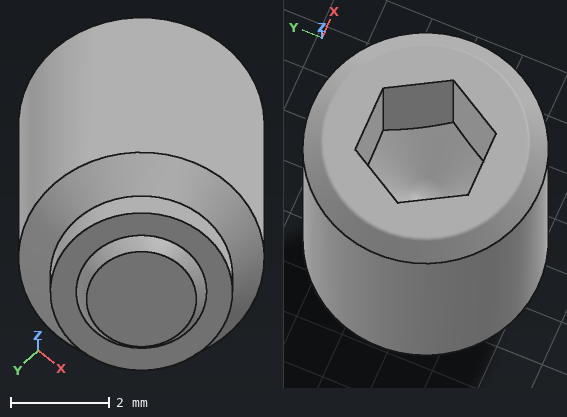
import cadquery as cq
import math

overall_height = 7.5
screw_diameter = 5.0
screw_radius = screw_diameter / 2
dog_radius = 1.85
dog_bottom_z = 0.3
dog_top_z = 0.99
taper_height = screw_radius - dog_radius

end_face_radius = 2.07
edge_round_radius = 0.105
round_angle = math.radians(45)
round_width = edge_round_radius * math.sin(round_angle)
round_height = edge_round_radius * (1 - math.cos(round_angle))
chamfer_top_radius = end_face_radius + round_width
chamfer_top_z = overall_height - round_height
chamfer_bottom_z = chamfer_top_z - (screw_radius - chamfer_top_radius)

hex_across_flats = 2.5
hex_across_corners = hex_across_flats / math.cos(math.radians(30))
socket_depth = 2.5
socket_point_angle = 120.0
cone_radius = hex_across_corners / 2
cone_depth = cone_radius / math.tan(math.radians(socket_point_angle / 2))

ball_radius = 1.5
flat_radius = 1.12
ball_center_z = math.sqrt(ball_radius**2 - flat_radius**2)


def make_ball():
    """Ball cut flat at Z = 0."""
    sphere = cq.Workplane("XY").sphere(ball_radius).translate((0, 0, ball_center_z))
    above_flat = cq.Workplane("XY").box(
        2 * ball_radius, 2 * ball_radius, 2 * ball_radius + ball_center_z, centered=(True, True, False)
    )
    return sphere.intersect(above_flat)


def make_blank():
    """Turned outline of the screw, revolved about Z."""
    round_middle = (
        end_face_radius + edge_round_radius * math.sin(round_angle / 2),
        overall_height - edge_round_radius * (1 - math.cos(round_angle / 2)),
    )
    return (
        cq.Workplane("XZ")
        .moveTo(0, dog_bottom_z)
        .lineTo(dog_radius, dog_bottom_z)
        .lineTo(dog_radius, dog_top_z)
        .lineTo(screw_radius, dog_top_z + taper_height)
        .lineTo(screw_radius, chamfer_bottom_z)
        .lineTo(chamfer_top_radius, chamfer_top_z)
        .threePointArc(round_middle, (end_face_radius, overall_height))
        .lineTo(0, overall_height)
        .close()
        .revolve(360, (0, 0, 0), (0, 1, 0))
    )


def make_socket():
    """Hexagonal prism whose lower end is trimmed to a cone."""
    corner_z = overall_height - socket_depth
    prism = (
        cq.Workplane("XY")
        .workplane(offset=corner_z - cone_depth)
        .polygon(6, hex_across_corners)
        .extrude(socket_depth + cone_depth)
    )
    pointed_bore = (
        cq.Workplane("XZ")
        .moveTo(0, corner_z - cone_depth)
        .lineTo(cone_radius, corner_z)
        .lineTo(cone_radius, overall_height)
        .lineTo(0, overall_height)
        .close()
        .revolve(360, (0, 0, 0), (0, 1, 0))
    )
    return prism.intersect(pointed_bore)


ball = make_ball()
screw = make_blank().cut(make_socket()).cut(ball)

result = cq.Compound.makeCompound([screw.val(), ball.val()])